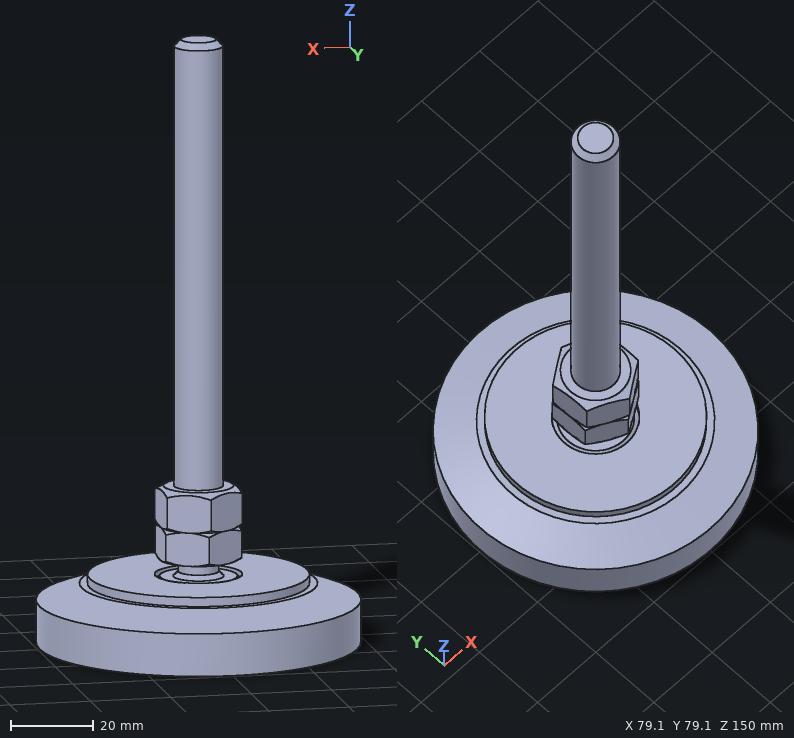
import cadquery as cq
import math

total_height = 150.0

pad_radius = 39.53
pad_rim_height = 10.7
pad_height = 14.7
pad_top_radius = 29.0

plate_radius = 27.0
plate_thickness = 2.3
plate_top = pad_height + plate_thickness
foot_radius = 10.7
foot_top_radius = 9.5
foot_chamfer = foot_radius - foot_top_radius
foot_top = plate_top - 0.5

flare_radius = 6.2
neck_radius = 5.0
flare_top = foot_top + flare_radius - neck_radius
rod_radius = 6.0
tip_radius = 4.4
tip_height = rod_radius - tip_radius

across_flats = 19.0
corner_radius = across_flats / math.sqrt(3)
hexagon_bottom = 20.9
hexagon_top = 29.1
nut_top = 39.0
bevel_angle = math.radians(30)
nut_top_face_radius = 8.5
hexagon_face_radius = 9.6
hexagon_turn = 1.6
nut_turn = 3.9


def revolve_profile(points):
    """Revolve a closed (radius, height) outline about the Z axis."""
    return cq.Workplane("XZ").polyline(points).close().revolve(360, (0, 0, 0), (0, 1, 0))


def beveled_hexagon(bottom, top, bottom_face_radius, top_face_radius, turn):
    """Hexagonal prism, corners along Y before turning, with conically beveled ends."""
    prism = (
        cq.Workplane("XY")
        .workplane(offset=bottom)
        .polygon(6, 2 * corner_radius)
        .extrude(top - bottom)
        .rotate((0, 0, 0), (0, 0, 1), 90 + turn)
    )
    bottom_drop = (corner_radius - bottom_face_radius) * math.tan(bevel_angle)
    top_drop = (corner_radius - top_face_radius) * math.tan(bevel_angle)
    envelope = revolve_profile([
        (0, bottom),
        (bottom_face_radius, bottom),
        (corner_radius, bottom + bottom_drop),
        (corner_radius, top - top_drop),
        (top_face_radius, top),
        (0, top),
    ])
    return prism.intersect(envelope)


def make_pad():
    return revolve_profile([
        (0, 0),
        (pad_radius, 0),
        (pad_radius, pad_rim_height),
        (pad_top_radius, pad_height),
        (0, pad_height),
    ])


def make_plate():
    return revolve_profile([
        (foot_radius, pad_height),
        (plate_radius, pad_height),
        (plate_radius, plate_top),
        (foot_radius, plate_top),
    ])


def make_stud():
    shaft = revolve_profile([
        (0, pad_height),
        (foot_radius, pad_height),
        (foot_radius, foot_top - foot_chamfer),
        (foot_top_radius, foot_top),
        (flare_radius, foot_top),
        (neck_radius, flare_top),
        (neck_radius, hexagon_bottom),
        (rod_radius, hexagon_bottom),
        (rod_radius, total_height - tip_height),
        (tip_radius, total_height),
        (0, total_height),
    ])
    hexagon = beveled_hexagon(
        hexagon_bottom, hexagon_top, hexagon_face_radius, hexagon_face_radius, hexagon_turn
    )
    return shaft.union(hexagon)


def make_nut():
    blank = beveled_hexagon(
        hexagon_top, nut_top, hexagon_face_radius, nut_top_face_radius, nut_turn
    )
    bore = (
        cq.Workplane("XY")
        .workplane(offset=hexagon_top)
        .circle(rod_radius)
        .extrude(nut_top - hexagon_top)
    )
    return blank.cut(bore)


pad = make_pad()
plate = make_plate()
stud = make_stud()
nut = make_nut()

result = cq.Compound.makeCompound([pad.val(), plate.val(), stud.val(), nut.val()])